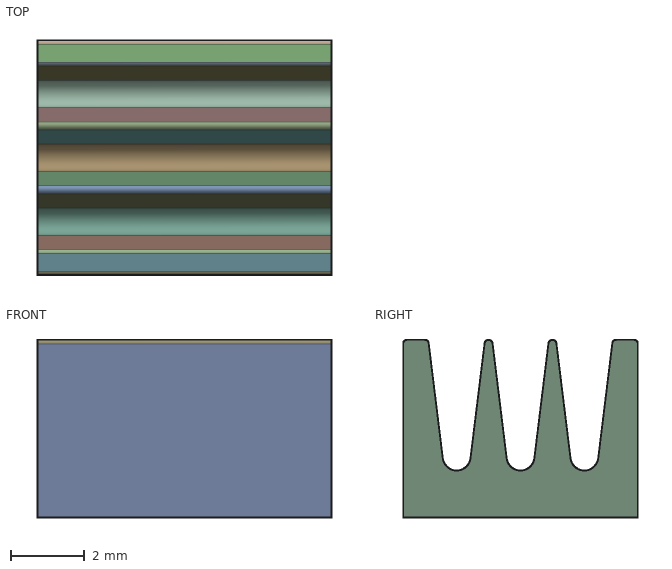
import cadquery as cq
import math

length = 8.0
width = 6.38
height = 4.83
groove_count = 3
groove_pitch = 1.74
base_thickness = 1.28
groove_radius = 0.38
wall_taper = math.radians(7.0)
corner_radius = 0.1

groove_center_z = base_thickness + groove_radius
tangent_y = groove_radius * math.cos(wall_taper)
tangent_z = groove_center_z - groove_radius * math.sin(wall_taper)
groove_half_top = tangent_y + (height - tangent_z) * math.tan(wall_taper)

fin_half_top = groove_pitch / 2 - groove_half_top
tip_radius = fin_half_top * math.cos(wall_taper) / (1 - math.sin(wall_taper))
tip_center_z = height - tip_radius
tip_tangent_y = tip_radius * math.cos(wall_taper)
tip_tangent_z = tip_center_z + tip_radius * math.sin(wall_taper)


def centered_positions(count):
    """Y positions of equally pitched features, symmetric about the middle."""
    return [(i - (count - 1) / 2) * groove_pitch for i in range(count)]


def along_length():
    """Workplane on the YZ plane at the -X end of the part."""
    return cq.Workplane("YZ", origin=(-length / 2, 0, 0))


def groove(y):
    return (
        along_length()
        .moveTo(y - groove_half_top, height)
        .lineTo(y - tangent_y, tangent_z)
        .threePointArc((y, base_thickness), (y + tangent_y, tangent_z))
        .lineTo(y + groove_half_top, height)
        .close()
        .extrude(length)
    )


def fin_tip_waste(y):
    """Material between the sharp fin top and its full round."""
    sharp_top = (
        along_length()
        .moveTo(y - tip_tangent_y, tip_tangent_z)
        .lineTo(y - fin_half_top, height)
        .lineTo(y + fin_half_top, height)
        .lineTo(y + tip_tangent_y, tip_tangent_z)
        .close()
        .extrude(length)
    )
    rounded_tip = along_length().center(y, tip_center_z).circle(tip_radius).extrude(length)
    return sharp_top.cut(rounded_tip)


body = cq.Workplane("XY").box(length, width, height, centered=(True, True, False))
for y in centered_positions(groove_count):
    body = body.cut(groove(y))

for side in (">Y", "<Y"):
    body = body.faces(">Z").faces(side).edges("|X").fillet(corner_radius)

for y in centered_positions(groove_count - 1):
    body = body.cut(fin_tip_waste(y))

result = body